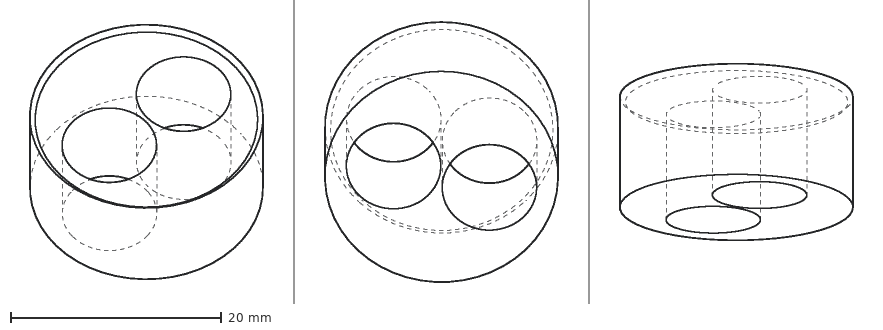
import cadquery as cq

body_diameter = 22.2
body_height = 11.0

dish_depth = 0.5
floor_diameter = body_diameter - 2 * dish_depth

hole_diameter = 9.0
hole_spacing = 9.4


def make_body():
    return cq.Workplane("XY").circle(body_diameter / 2).extrude(body_height)


def make_dish():
    return (
        cq.Workplane("XY")
        .workplane(offset=body_height - dish_depth)
        .circle(floor_diameter / 2)
        .workplane(offset=dish_depth)
        .circle(body_diameter / 2)
        .loft(ruled=True)
    )


def make_holes():
    return (
        cq.Workplane("XY")
        .pushPoints([(0, -hole_spacing / 2), (0, hole_spacing / 2)])
        .circle(hole_diameter / 2)
        .extrude(body_height)
    )


result = make_body().cut(make_dish()).cut(make_holes())